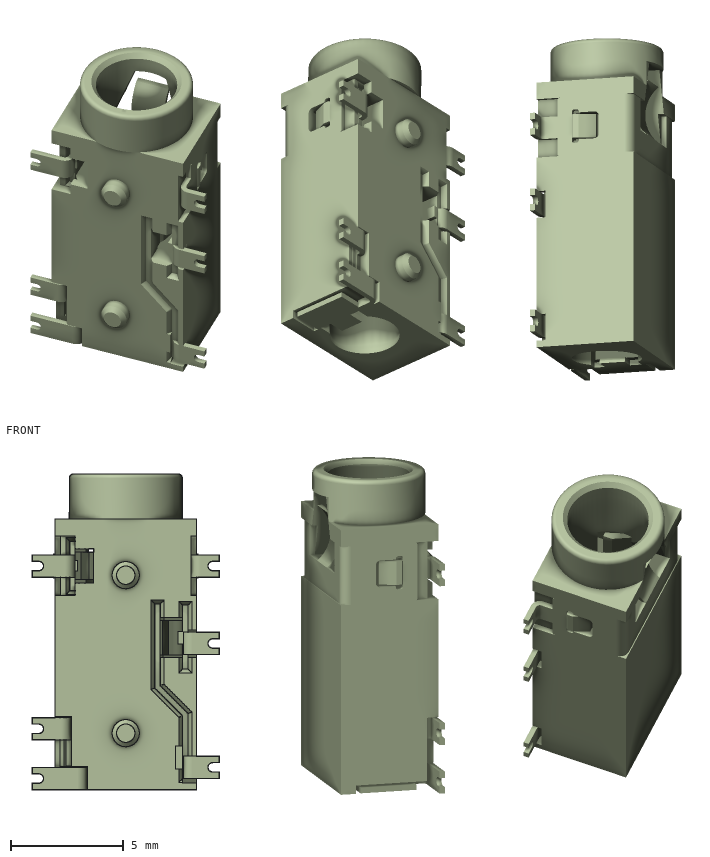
import cadquery as cq

HALF_WIDTH = 3.14
FRONT_Y = -2.3
BACK_Y = 2.2
BLOCK_HEIGHT = 12.0
TOTAL_HEIGHT = 14.0

BARREL_RADIUS = 2.5
BARREL_FILLET = 0.2
BARREL_LIP_Z = 13.09
BORE_TOP_RADIUS = 1.8
BORE_BOTTOM_RADIUS = 1.55
BORE_CHAMFER = 0.2
BORE_TAPER_Z = 8.4

PEG_RADIUS = 0.6
PEG_HEIGHT = 0.6
PEG_CHAMFER = 0.2
PEG_HEIGHTS_Z = (2.5, 9.5)

SHEET = 0.24
FOOT_SPAN = 8.3
FOOT_TIP_X = FOOT_SPAN / 2
FOOT_WIDTH = 1.0
FOOT_BEND_RADIUS = 0.42
NOTCH_WIDTH = 0.4
NOTCH_DEPTH = 0.5
LEG_END_Y = -1.26
TONGUE_TIP_Y = -0.84
TONGUE_CONTACT_LENGTH = 0.42
TONGUE_ARM = 0.14
NUB_DEPTH = 0.42
LEAD_IN = 0.17
LEAD_IN_DEPTH = 0.22
LEAD_IN_TAPER = 36.0

CLIP_BOTTOM_Z = 8.6
CLIP_TOP_Z = 11.24
CLIP_BACK_Y = 2.15
CLIP_FRONT_Y = -1.33
CLIP_BEND_RADIUS = 0.42
CLIP_CORNER_RADIUS = 0.11
UPPER_FOOT_Z = 9.91
CLIP_WINDOW_Y = (-0.66, 0.59)
CLIP_WINDOW_HEIGHT = 1.22
CLIP_WINDOW_RADIUS = 0.21
CLIP_RELIEF_Y = (-0.66, -0.34)
CLIP_RELIEF_HEIGHT = 1.51
LUG_HEIGHT = 1.06
LUG_TIP_X = 2.66
LUG_TIP_Y = 0.38
LUG_BULGE = 0.05
BACK_TONGUE_HALF_WIDTH = 0.77
BACK_TONGUE_TOP_Z = 12.32
BACK_TONGUE_REACH_Y = 1.3

BACK_SLOT_BOTTOM_Z = 9.8
BACK_SLOT_BOTTOM_HALF = 1.95
BACK_SLOT_TOP_HALF = 0.75

UPPER_LEFT_LEG_X = -2.24
UPPER_LEFT_PLATE_Z = (8.82, 11.0)
UPPER_LEFT_PLATE_Y = (-1.76, 0.56)
UPPER_LEFT_TONGUE_Z = (9.31, 10.53)
UPPER_LEFT_BEND_X = -1.99
UPPER_LEFT_TIP_X = -1.64
UPPER_LEFT_BRIDGE_Y = 0.14
UPPER_LEFT_ROOT_RADIUS = 0.07
UPPER_LEFT_NUB_WIDTH = 0.1
UPPER_LEFT_NUB_HEIGHT = 0.48
UPPER_LEFT_TONGUE_X = -1.43
UPPER_LEFT_WINDOW_Z = (9.15, 10.67)
UPPER_LEFT_POCKET_Y = -1.88

MID_RIGHT_LEG_X = 2.52
MID_RIGHT_FOOT_Z = 6.48
MID_RIGHT_PLATE_Z = (5.35, 8.18)
MID_RIGHT_PLATE_Y = (FRONT_Y + LEAD_IN_DEPTH, 0.7)
MID_RIGHT_TONGUE_Z = (5.96, 7.5)
MID_RIGHT_BEND_X = 1.9
MID_RIGHT_TIP_X = 1.62
MID_RIGHT_BRIDGE_Y = 0.28
MID_RIGHT_ROOT_RADIUS = 0.42
MID_RIGHT_NUB_WIDTH = 0.2
MID_RIGHT_NUB_HEIGHT = 0.56
MID_RIGHT_TONGUE_X = 1.37
MID_RIGHT_WINDOW_Z = (5.87, 7.63)
MID_RIGHT_WINDOW_X = 1.48
MID_RIGHT_EXIT_TOP_Z = 7.07

LOWER_RIGHT_LEG_X = 2.52
LOWER_RIGHT_FOOT_Z = 1.0
STRIP_TOP_Z = 8.23
STRIP_UPPER_X = 1.29
STRIP_JOG_TOP_Z = 4.51
STRIP_Y = (FRONT_Y + LEAD_IN_DEPTH, -1.33)
STRIP_EAR_X = 2.21
STRIP_EAR_Z = (0.92, 1.95)
STRIP_POCKET_BOTTOM_Z = 0.3

LOWER_LEFT_LEG_X = -2.41
LOWER_LEFT_FOOT_Z = 2.7
LOWER_LEFT_PLATE_Z = (1.05, 3.19)
LOWER_LEFT_PLATE_Y = (-1.8, -1.12)

BOTTOM_LEFT_LEG_X = -1.7
FLANGE_OUTER_X = -3.1
FLANGE_Y = (-1.3, 1.29)
STOP_TIP_X = -0.91
STOP_Y = (-0.62, 0.55)
STOP_CHAMFER = 0.11

CORNER_FLOOR_Y = -1.76
CORNER_STEP_Y = LOWER_LEFT_PLATE_Y[0]
CORNER_STEP_X = -2.91
LEG_GAP = 0.08
CORNER_UPPER_Z = 3.25
CORNER_LOWER_Z = 1.02
FLANGE_RECESS_HEIGHT = 0.38
FLANGE_RECESS_Y = (-1.78, 1.5)
BORE_SLOT_HALF = 1.09


def block(x_range, y_range, z_range):
    """Box between two limits on each axis; the limits may come in any order."""
    sizes = [abs(r[1] - r[0]) for r in (x_range, y_range, z_range)]
    corner = [min(r) for r in (x_range, y_range, z_range)]
    return cq.Workplane("XY").box(*sizes, centered=False).translate(tuple(corner))


def around(center, size):
    """Limits of a span of the given size around a center."""
    return (center - size / 2, center + size / 2)


def profile_prism(sketch, z_range):
    """Extrude a closed XY wire between two heights."""
    return sketch.extrude(z_range[1] - z_range[0]).translate((0, 0, z_range[0]))


def foot(leg_x, center_z):
    """Solder foot flush with the front face, bent back into a leg whose bend side lies at leg_x."""
    side = 1 if leg_x > 0 else -1
    x = abs(leg_x)
    inner_radius = FOOT_BEND_RADIUS - SHEET
    bend_x = x + FOOT_BEND_RADIUS
    bend_y = FRONT_Y + FOOT_BEND_RADIUS
    diagonal = 0.5 ** 0.5
    section = (
        cq.Workplane("XY")
        .moveTo(FOOT_TIP_X, FRONT_Y)
        .lineTo(bend_x, FRONT_Y)
        .threePointArc(
            (bend_x - FOOT_BEND_RADIUS * diagonal, bend_y - FOOT_BEND_RADIUS * diagonal),
            (x, bend_y),
        )
        .lineTo(x, LEG_END_Y)
        .lineTo(x + SHEET, LEG_END_Y)
        .lineTo(x + SHEET, bend_y)
        .threePointArc(
            (bend_x - inner_radius * diagonal, bend_y - inner_radius * diagonal),
            (bend_x, FRONT_Y + SHEET),
        )
        .lineTo(FOOT_TIP_X, FRONT_Y + SHEET)
        .close()
    )
    body = profile_prism(section, around(center_z, FOOT_WIDTH))
    notch = (
        cq.Workplane("XZ", origin=(FOOT_TIP_X, 0, center_z))
        .slot2D(2 * NOTCH_DEPTH, NOTCH_WIDTH)
        .extrude(-2 * FRONT_Y, both=True)
    )
    body = body.cut(notch)
    return body if side > 0 else body.mirror("YZ")


def tongue(base_x, bend_x, tip_x, reach_x, bridge_y, root_radius, z_range):
    """Spring tongue: a bridge runs inwards from a plate at base_x, then an arm runs forward into the bore."""
    side = 1 if base_x > 0 else -1
    root_x = base_x + side * SHEET / 2
    curve_y = bridge_y - root_radius
    curve_shift = root_radius * (1 - 0.5 ** 0.5)
    section = (
        cq.Workplane("XY")
        .moveTo(root_x, curve_y)
        .lineTo(base_x, curve_y)
        .threePointArc(
            (base_x - side * curve_shift, bridge_y - curve_shift),
            (base_x - side * root_radius, bridge_y),
        )
        .lineTo(bend_x, bridge_y)
        .lineTo(tip_x, TONGUE_TIP_Y)
        .lineTo(reach_x, TONGUE_TIP_Y)
        .lineTo(reach_x, TONGUE_TIP_Y + TONGUE_CONTACT_LENGTH)
        .lineTo(bend_x - side * TONGUE_ARM, bridge_y + SHEET)
        .lineTo(root_x, bridge_y + SHEET)
        .close()
    )
    return profile_prism(section, z_range)


def nub(base_x, width, height, plate_y, z_range):
    """Small block on the inner side of a plate, at its front edge and level with its tongue."""
    side = 1 if base_x > 0 else -1
    y_range = (plate_y[0], plate_y[0] + NUB_DEPTH)
    return block((base_x + side * SHEET, base_x - side * width), y_range, around(sum(z_range) / 2, height))


def plate(leg_x, y_range, z_range):
    """Flat plate in line with the leg of a foot."""
    side = 1 if leg_x > 0 else -1
    return block((leg_x, leg_x + side * SHEET), y_range, z_range)


def make_upper_left_terminal():
    body = foot(UPPER_LEFT_LEG_X, UPPER_FOOT_Z)
    body = body.union(plate(UPPER_LEFT_LEG_X, UPPER_LEFT_PLATE_Y, UPPER_LEFT_PLATE_Z))
    body = body.union(tongue(
        UPPER_LEFT_LEG_X,
        UPPER_LEFT_BEND_X,
        UPPER_LEFT_TIP_X,
        UPPER_LEFT_TONGUE_X,
        UPPER_LEFT_BRIDGE_Y,
        UPPER_LEFT_ROOT_RADIUS,
        UPPER_LEFT_TONGUE_Z,
    ))
    return body.union(nub(
        UPPER_LEFT_LEG_X, UPPER_LEFT_NUB_WIDTH, UPPER_LEFT_NUB_HEIGHT, UPPER_LEFT_PLATE_Y, UPPER_LEFT_TONGUE_Z
    ))


def make_mid_right_terminal():
    body = foot(MID_RIGHT_LEG_X, MID_RIGHT_FOOT_Z)
    body = body.union(plate(MID_RIGHT_LEG_X, MID_RIGHT_PLATE_Y, MID_RIGHT_PLATE_Z))
    body = body.union(tongue(
        MID_RIGHT_LEG_X,
        MID_RIGHT_BEND_X,
        MID_RIGHT_TIP_X,
        MID_RIGHT_TONGUE_X,
        MID_RIGHT_BRIDGE_Y,
        MID_RIGHT_ROOT_RADIUS,
        MID_RIGHT_TONGUE_Z,
    ))
    return body.union(nub(
        MID_RIGHT_LEG_X, MID_RIGHT_NUB_WIDTH, MID_RIGHT_NUB_HEIGHT, MID_RIGHT_PLATE_Y, MID_RIGHT_TONGUE_Z
    ))


def strip_outline(start_y):
    """Outline of the jogged strip in the XZ plane at start_y."""
    jog_height = LOWER_RIGHT_LEG_X - STRIP_UPPER_X
    corner_shift = SHEET * (2 ** 0.5 - 1)
    jog_bottom_z = STRIP_JOG_TOP_Z - jog_height
    bottom_z = LOWER_RIGHT_FOOT_Z - FOOT_WIDTH / 2
    return cq.Workplane("XZ", origin=(0, start_y, 0)).polyline([
        (STRIP_UPPER_X, STRIP_TOP_Z),
        (STRIP_UPPER_X, STRIP_JOG_TOP_Z),
        (LOWER_RIGHT_LEG_X, jog_bottom_z),
        (LOWER_RIGHT_LEG_X, bottom_z),
        (LOWER_RIGHT_LEG_X + SHEET, bottom_z),
        (LOWER_RIGHT_LEG_X + SHEET, jog_bottom_z + corner_shift),
        (STRIP_UPPER_X + SHEET, STRIP_JOG_TOP_Z + corner_shift),
        (STRIP_UPPER_X + SHEET, STRIP_TOP_Z),
    ]).close()


def make_lower_right_terminal():
    strip = strip_outline(STRIP_Y[0]).extrude(STRIP_Y[0] - STRIP_Y[1])
    ear = block((STRIP_EAR_X, LOWER_RIGHT_LEG_X), (FRONT_Y, FRONT_Y + 2 * SHEET), STRIP_EAR_Z)
    return foot(LOWER_RIGHT_LEG_X, LOWER_RIGHT_FOOT_Z).union(strip).union(ear)


def make_lower_left_terminal():
    body = foot(LOWER_LEFT_LEG_X, LOWER_LEFT_FOOT_Z)
    return body.union(plate(LOWER_LEFT_LEG_X, LOWER_LEFT_PLATE_Y, LOWER_LEFT_PLATE_Z))


def make_bottom_left_terminal():
    flange = block((FLANGE_OUTER_X, BOTTOM_LEFT_LEG_X), FLANGE_Y, (0, SHEET))
    stop = block((BOTTOM_LEFT_LEG_X, STOP_TIP_X), STOP_Y, (0, SHEET))
    stop = stop.edges(">X and >Z").chamfer(STOP_CHAMFER)
    return foot(BOTTOM_LEFT_LEG_X, FOOT_WIDTH / 2).union(flange).union(stop)


def clip_lug(side):
    """Lug bent inwards from the front edge of the clip window, bulging out at its root."""
    outer = HALF_WIDTH
    bulge = HALF_WIDTH + LUG_BULGE
    root_y, bend_y = CLIP_RELIEF_Y
    points = [
        (outer - SHEET, root_y),
        (outer, root_y),
        (bulge, root_y + LUG_BULGE),
        (bulge, bend_y),
        (LUG_TIP_X + SHEET, LUG_TIP_Y),
        (LUG_TIP_X, LUG_TIP_Y),
        (outer - SHEET, bend_y),
    ]
    section = cq.Workplane("XY").polyline([(side * x, y) for x, y in points]).close()
    return profile_prism(section, around(UPPER_FOOT_Z, LUG_HEIGHT))


def clip_back_tongue():
    """Tongue bowed from the back band of the clip towards the bore."""
    inner_y = CLIP_BACK_Y - SHEET
    middle_z = (BACK_SLOT_BOTTOM_Z + BACK_TONGUE_TOP_Z) / 2
    section = (
        cq.Workplane("YZ", origin=(-BACK_TONGUE_HALF_WIDTH, 0, 0))
        .moveTo(CLIP_BACK_Y, CLIP_BOTTOM_Z)
        .lineTo(CLIP_BACK_Y, BACK_SLOT_BOTTOM_Z)
        .threePointArc((BACK_TONGUE_REACH_Y + SHEET, middle_z), (CLIP_BACK_Y, BACK_TONGUE_TOP_Z))
        .lineTo(inner_y, BACK_TONGUE_TOP_Z)
        .threePointArc((BACK_TONGUE_REACH_Y, middle_z), (inner_y, BACK_SLOT_BOTTOM_Z))
        .lineTo(inner_y, CLIP_BOTTOM_Z)
        .close()
    )
    return section.extrude(2 * BACK_TONGUE_HALF_WIDTH)


def clip_shell(inset):
    """Block with rounded back corners, the outside of the clip moved inwards by inset."""
    half = HALF_WIDTH - inset
    shell = block((-half, half), (CLIP_FRONT_Y, CLIP_BACK_Y - inset), (CLIP_BOTTOM_Z, CLIP_TOP_Z))
    return shell.edges("|Z and >Y").fillet(CLIP_BEND_RADIUS - inset)


def make_clip():
    clip = clip_shell(0).cut(clip_shell(SHEET))
    clip = clip.edges("|X and <Y").fillet(CLIP_CORNER_RADIUS)
    width = (-HALF_WIDTH, HALF_WIDTH)
    window = block(width, CLIP_WINDOW_Y, around(UPPER_FOOT_Z, CLIP_WINDOW_HEIGHT))
    window = window.edges("|X and >Y").fillet(CLIP_WINDOW_RADIUS)
    reliefs = block(width, CLIP_RELIEF_Y, around(UPPER_FOOT_Z, CLIP_RELIEF_HEIGHT))
    reliefs = reliefs.edges("|X").fillet(CLIP_CORNER_RADIUS)
    back_opening = block(
        (-BACK_SLOT_BOTTOM_HALF, BACK_SLOT_BOTTOM_HALF),
        (0, CLIP_BACK_Y),
        (BACK_SLOT_BOTTOM_Z, CLIP_TOP_Z),
    )
    clip = clip.cut(window).cut(reliefs).cut(back_opening)
    for side in (-1, 1):
        clip = clip.union(clip_lug(side))
    return clip.union(clip_back_tongue()).union(foot(HALF_WIDTH - SHEET, UPPER_FOOT_Z))


def make_barrel():
    barrel = (
        cq.Workplane("XY", origin=(0, 0, BLOCK_HEIGHT))
        .circle(BARREL_RADIUS)
        .extrude(TOTAL_HEIGHT - BLOCK_HEIGHT)
        .faces(">Z").edges().fillet(BARREL_FILLET)
    )
    back_flat = block(
        (-BARREL_RADIUS, BARREL_RADIUS), (BACK_Y, BARREL_RADIUS), (BLOCK_HEIGHT, BARREL_LIP_Z)
    )
    return barrel.cut(back_flat)


def make_bore():
    """Through bore with a chamfered mouth, tapering below the spring contacts of the clip."""
    return (
        cq.Workplane("XZ")
        .polyline([
            (0, 0),
            (BORE_BOTTOM_RADIUS, 0),
            (BORE_TOP_RADIUS, BORE_TAPER_Z),
            (BORE_TOP_RADIUS, TOTAL_HEIGHT - BORE_CHAMFER),
            (BORE_TOP_RADIUS + BORE_CHAMFER, TOTAL_HEIGHT),
            (0, TOTAL_HEIGHT),
        ])
        .close()
        .revolve(360, (0, 0, 0), (0, 1, 0))
    )


def make_back_slot():
    return (
        cq.Workplane("XZ")
        .polyline([
            (-BACK_SLOT_BOTTOM_HALF, BACK_SLOT_BOTTOM_Z),
            (BACK_SLOT_BOTTOM_HALF, BACK_SLOT_BOTTOM_Z),
            (BACK_SLOT_TOP_HALF, BARREL_LIP_Z),
            (-BACK_SLOT_TOP_HALF, BARREL_LIP_Z),
        ])
        .close()
        .extrude(-BACK_Y)
    )


def make_peg(center_z):
    return (
        cq.Workplane("XZ", origin=(0, FRONT_Y, center_z))
        .circle(PEG_RADIUS)
        .extrude(PEG_HEIGHT)
        .faces("<Y").edges().chamfer(PEG_CHAMFER)
    )


def plate_lead_in(leg_x, z_range, mouth_y):
    """Bevelled mouth around the front edge of a plate."""
    side = 1 if leg_x > 0 else -1
    center_x = leg_x + side * SHEET / 2
    height = z_range[1] - z_range[0]
    return (
        cq.Workplane("XZ", origin=(center_x, mouth_y, sum(z_range) / 2))
        .rect(SHEET + 2 * LEAD_IN, height + 2 * LEAD_IN)
        .extrude(-LEAD_IN_DEPTH, taper=LEAD_IN_TAPER)
    )


def strip_lead_in():
    """Bevelled mouth along the jogged strip."""
    return (
        strip_outline(FRONT_Y)
        .offset2D(LEAD_IN, "intersection")
        .extrude(-LEAD_IN_DEPTH, taper=LEAD_IN_TAPER)
    )


def clip_recess():
    """Channel around the left, back and right sides that the clip lies in."""
    z_range = (CLIP_BOTTOM_Z, CLIP_TOP_Z)
    outside = block((-HALF_WIDTH, HALF_WIDTH), (FRONT_Y, BACK_Y), z_range)
    half = HALF_WIDTH - SHEET
    core = block((-half, half), (FRONT_Y, CLIP_BACK_Y - SHEET), z_range)
    core = core.edges("|Z and >Y").fillet(CLIP_BEND_RADIUS - SHEET)
    return outside.cut(core)


def terminal_recesses():
    """Cuts that open the housing around the terminals and their springs."""
    left, right = -HALF_WIDTH, HALF_WIDTH
    upper_left_back_x = UPPER_LEFT_LEG_X - SHEET
    lower_left_back_x = LOWER_LEFT_LEG_X - SHEET
    flange_clearance = (0, FLANGE_RECESS_HEIGHT)
    foot_bottom_z = LOWER_RIGHT_FOOT_Z - FOOT_WIDTH / 2
    return [
        block((left, UPPER_LEFT_LEG_X), (FRONT_Y, UPPER_LEFT_POCKET_Y), (CLIP_BOTTOM_Z, CLIP_TOP_Z)),
        block(
            (UPPER_LEFT_LEG_X, UPPER_LEFT_TONGUE_X),
            (FRONT_Y, UPPER_LEFT_BRIDGE_Y + SHEET),
            UPPER_LEFT_WINDOW_Z,
        ),
        block((left, upper_left_back_x), CLIP_WINDOW_Y, around(UPPER_FOOT_Z, CLIP_WINDOW_HEIGHT)),
        block((-upper_left_back_x, right), CLIP_WINDOW_Y, around(UPPER_FOOT_Z, CLIP_WINDOW_HEIGHT)),
        plate_lead_in(UPPER_LEFT_LEG_X, UPPER_LEFT_PLATE_Z, UPPER_LEFT_POCKET_Y),
        block(
            (MID_RIGHT_WINDOW_X, MID_RIGHT_LEG_X),
            (FRONT_Y, MID_RIGHT_BRIDGE_Y + SHEET),
            MID_RIGHT_WINDOW_Z,
        ),
        block(
            (MID_RIGHT_LEG_X, right),
            (FRONT_Y, FRONT_Y + FOOT_BEND_RADIUS),
            (MID_RIGHT_WINDOW_Z[0], MID_RIGHT_EXIT_TOP_Z),
        ),
        plate_lead_in(MID_RIGHT_LEG_X, MID_RIGHT_PLATE_Z, FRONT_Y),
        strip_lead_in(),
        block(
            (LOWER_RIGHT_LEG_X, right),
            (FRONT_Y, FRONT_Y + FOOT_BEND_RADIUS),
            (STRIP_POCKET_BOTTOM_Z, foot_bottom_z + FOOT_WIDTH),
        ),
        block((left, LOWER_LEFT_LEG_X), (FRONT_Y, CORNER_STEP_Y), (0, CORNER_UPPER_Z)),
        block((left, CORNER_STEP_X), (FRONT_Y, CORNER_FLOOR_Y), (0, CORNER_UPPER_Z)),
        block(
            (lower_left_back_x - LEG_GAP, lower_left_back_x),
            (FRONT_Y, LOWER_LEFT_PLATE_Y[1]),
            (CORNER_LOWER_Z, CORNER_UPPER_Z),
        ),
        block((left, BOTTOM_LEFT_LEG_X), (FRONT_Y, CORNER_FLOOR_Y), (0, CORNER_LOWER_Z)),
        block((left, BOTTOM_LEFT_LEG_X), FLANGE_RECESS_Y, flange_clearance),
        block((-BORE_TOP_RADIUS, 0), (-BORE_SLOT_HALF, BORE_SLOT_HALF), (0, BORE_TAPER_Z)),
    ]


def make_housing(terminals):
    housing = block((-HALF_WIDTH, HALF_WIDTH), (FRONT_Y, BACK_Y), (0, BLOCK_HEIGHT))
    housing = housing.union(make_barrel())
    for center_z in PEG_HEIGHTS_Z:
        housing = housing.union(make_peg(center_z))
    housing = housing.cut(make_bore()).cut(make_back_slot()).cut(clip_recess())
    for recess in terminal_recesses():
        housing = housing.cut(recess)
    for terminal in terminals:
        housing = housing.cut(terminal)
    return housing


clip = make_clip()
upper_left_terminal = make_upper_left_terminal()
mid_right_terminal = make_mid_right_terminal()
lower_right_terminal = make_lower_right_terminal()
lower_left_terminal = make_lower_left_terminal()
bottom_left_terminal = make_bottom_left_terminal()
terminals = [
    clip,
    upper_left_terminal,
    mid_right_terminal,
    lower_right_terminal,
    lower_left_terminal,
    bottom_left_terminal,
]
housing = make_housing(terminals)

bodies = [housing] + terminals
result = cq.Compound.makeCompound([body.solids().val() for body in bodies])